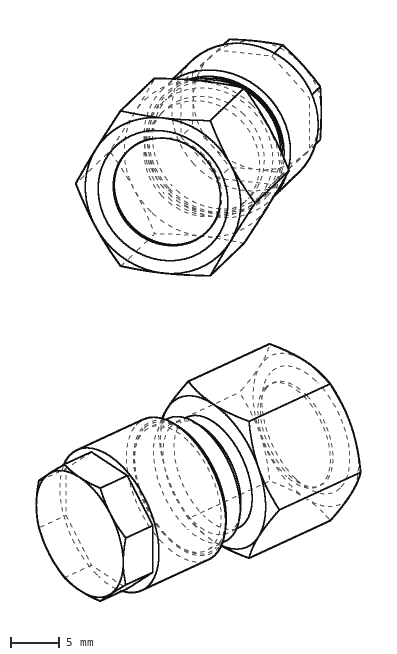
import cadquery as cq
import math


nut_sides = 6
nut_across_flats = 17.0
nut_length = 12.5
nut_chamfer_angle = 30.0

seat_diameter = 14.18
bore_diameter = 11.7
seat_half_angle = 45.0
bore_depth = 1.6

neck_diameter = 12.63
neck_length = 1.5
shoulder_diameter = 14.03
shoulder_length = 3.0
collar_diameter = 16.05
collar_length = 9.52
collar_chamfer = 0.52
collar_countersink_diameter = 14.65
collar_countersink_half_angle = 45.0

total_length = 30.5
octagon_sides = 8
octagon_across_flats = 14.03
octagon_chamfer_angle = 30.0

neck_end = nut_length + neck_length
shoulder_end = neck_end + shoulder_length
collar_end = shoulder_end + collar_length
octagon_length = total_length - collar_end


def revolve_profile(points):
    """Revolve a closed (radius, y) outline about the Y axis."""
    return cq.Workplane("XY").polyline(points).close().revolve(360, (0, 0, 0), (0, 1, 0))


def polygon_prism(sides, across_flats, start, length, first_corner_angle):
    """Regular prism along +Y; the corner angle is measured from +X."""
    corner_radius = across_flats / 2 / math.cos(math.pi / sides)
    corners = []
    for i in range(sides):
        angle = math.radians(first_corner_angle) + 2 * math.pi * i / sides
        corners.append((corner_radius * math.cos(angle), corner_radius * math.sin(angle)))
    return cq.Workplane("XZ", origin=(0, start, 0)).polyline(corners).close().extrude(-length)


def corner_envelope(across_flats, start, length, angle, chamfer_start):
    """Round blank whose conical ends trim the corners of a prism."""
    flat_radius = across_flats / 2
    outer_radius = across_flats
    rise = (outer_radius - flat_radius) * math.tan(math.radians(angle))
    end = start + length
    lower_corner = [(flat_radius, start), (outer_radius, start + rise)]
    if not chamfer_start:
        lower_corner = [(outer_radius, start)]
    upper_corner = [(outer_radius, end - rise), (flat_radius, end)]
    return revolve_profile([(0, start)] + lower_corner + upper_corner + [(0, end)])


def make_nut():
    prism = polygon_prism(nut_sides, nut_across_flats, 0, nut_length, 0)
    return prism.intersect(
        corner_envelope(nut_across_flats, 0, nut_length, nut_chamfer_angle, True)
    )


def make_body():
    neck_radius = neck_diameter / 2
    shoulder_radius = shoulder_diameter / 2
    collar_radius = collar_diameter / 2
    shoulder_chamfer = shoulder_radius - neck_radius
    countersink_radius = collar_countersink_diameter / 2
    countersink_width = countersink_radius - shoulder_radius
    countersink_depth = countersink_width / math.tan(math.radians(collar_countersink_half_angle))
    return revolve_profile([
        (0, nut_length),
        (neck_radius, nut_length),
        (neck_radius, neck_end),
        (shoulder_radius, neck_end + shoulder_chamfer),
        (shoulder_radius, shoulder_end + countersink_depth),
        (countersink_radius, shoulder_end),
        (collar_radius - collar_chamfer, shoulder_end),
        (collar_radius, shoulder_end + collar_chamfer),
        (collar_radius, collar_end),
        (0, collar_end),
    ])


def make_octagon():
    half_side_angle = 180 / octagon_sides
    prism = polygon_prism(
        octagon_sides, octagon_across_flats, collar_end, octagon_length, half_side_angle
    )
    return prism.intersect(
        corner_envelope(
            octagon_across_flats, collar_end, octagon_length, octagon_chamfer_angle, False
        )
    )


def make_mouth():
    seat_radius = seat_diameter / 2
    bore_radius = bore_diameter / 2
    seat_depth = (seat_radius - bore_radius) / math.tan(math.radians(seat_half_angle))
    return revolve_profile([
        (0, 0),
        (seat_radius, 0),
        (bore_radius, seat_depth),
        (bore_radius, bore_depth),
        (0, bore_depth),
    ])


result = make_nut().union(make_body()).union(make_octagon()).cut(make_mouth())